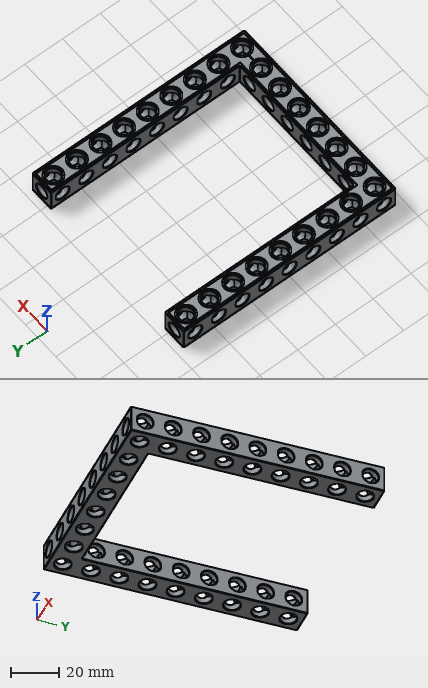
import cadquery as cq

columns = 8
rows = 9
length = 112.5
pitch = length / rows
width = columns * pitch
height = pitch

edge_chamfer = 0.3
bore_diameter = 7.0
bore_chamfer = 0.3

lip_width = 1.1
recess_depth = 0.2
lip_diameter = bore_diameter + 2 * lip_width

groove_width = 0.2
groove_depth = 0.3

ALONG_X = (1, 0, 0)
ALONG_Y = (0, 1, 0)
UP = (0, 0, 1)

column_centres = [(column + 0.5) * pitch for column in range(columns)]
row_centres = [(row + 0.5) * pitch for row in range(rows)]
vertical_bore_centres = [(x, row_centres[0]) for x in column_centres]
for y in row_centres[1:]:
    vertical_bore_centres.append((column_centres[0], y))
    vertical_bore_centres.append((column_centres[-1], y))


def u_slab(inset, bottom, thickness):
    """U open towards +Y, with its outline moved inwards by inset."""
    left, right = inset, width - inset
    front, back = inset, length - inset
    arm = pitch - inset
    outline = [
        (left, front),
        (right, front),
        (right, back),
        (width - arm, back),
        (width - arm, arm),
        (arm, arm),
        (arm, back),
        (left, back),
    ]
    return cq.Workplane("XY").workplane(offset=bottom).polyline(outline).close().extrude(thickness)


def top_recess():
    """Shallow sunken area of the top face, with round islands around the bores."""
    floor = height - recess_depth
    islands = (
        cq.Workplane("XY")
        .workplane(offset=floor)
        .pushPoints(vertical_bore_centres)
        .circle(lip_diameter / 2)
        .extrude(recess_depth)
    )
    return u_slab(lip_width, floor, recess_depth).cut(islands)


def seam_groove():
    """Narrow slot between the lips of the last two bridge bores, from the recess floor down."""
    cut_depth = recess_depth + groove_depth
    centre_x = (column_centres[-2] + column_centres[-1]) / 2
    return (
        cq.Workplane("XY")
        .box(pitch - lip_diameter, groove_width, cut_depth)
        .translate((centre_x, row_centres[0], height - cut_depth / 2))
    )


def chamfered_bore(start, direction, depth):
    """Cutter for a bore that widens at both of its ends."""
    radius = bore_diameter / 2
    mouth = radius + bore_chamfer
    near_end = cq.Vector(*start)
    axis = cq.Vector(*direction)
    far_end = near_end + axis * depth
    cutter = cq.Solid.makeCylinder(radius, depth, near_end, axis)
    for end, inward in ((near_end, axis), (far_end, axis * -1)):
        cutter = cutter.fuse(cq.Solid.makeCone(mouth, radius, bore_chamfer, end, inward))
    return cutter


frame = u_slab(0, 0, height).edges().chamfer(edge_chamfer)
frame = frame.cut(top_recess())
frame = frame.cut(seam_groove())

bores = [chamfered_bore((x, y, 0), UP, height) for x, y in vertical_bore_centres]

middle = height / 2
bores.append(chamfered_bore((0, row_centres[0], middle), ALONG_X, width))
for x in (column_centres[0], column_centres[-1]):
    bores.append(chamfered_bore((x, 0, middle), ALONG_Y, length))

for y in row_centres[1:]:
    for arm_side in (0, width - pitch):
        bores.append(chamfered_bore((arm_side, y, middle), ALONG_X, pitch))
for x in column_centres[1:-1]:
    bores.append(chamfered_bore((x, 0, middle), ALONG_Y, pitch))

for bore in bores:
    frame = frame.cut(cq.Workplane(bore))

result = frame